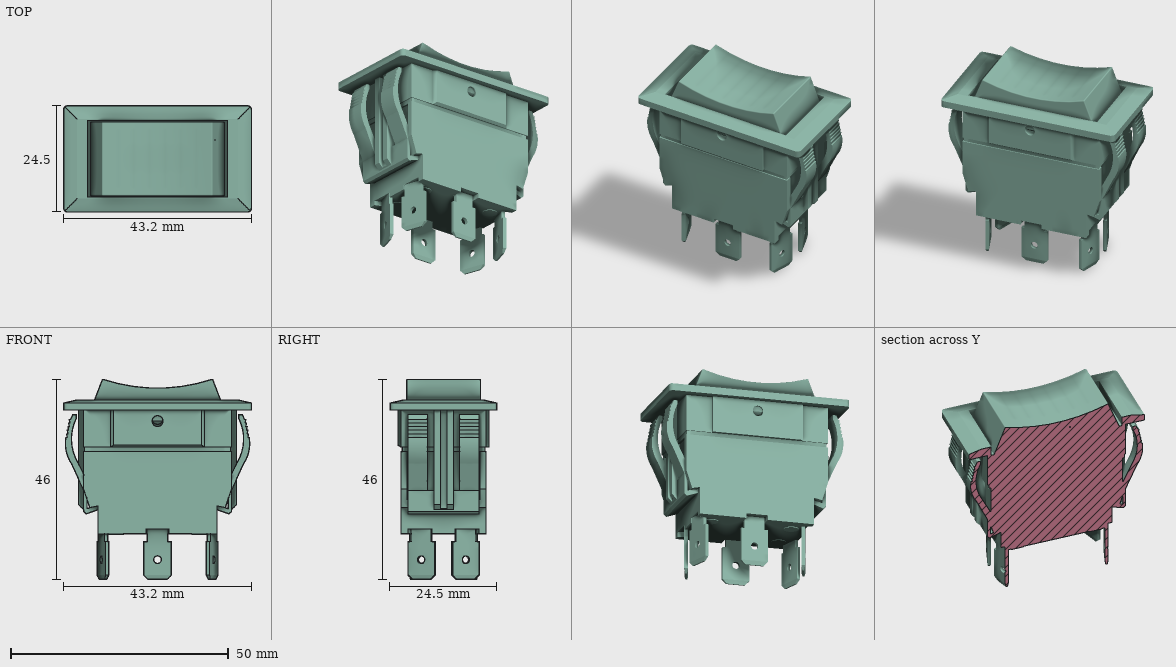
import cadquery as cq


BEZEL_LENGTH = 43.2
BEZEL_WIDTH = 24.5
BEZEL_EDGE_HEIGHT = 1.65
BEZEL_HEIGHT = 2.4
BEZEL_SLOPE_RUN = 3.1
BEZEL_CORNER_RADIUS = 1.0
OPENING_LENGTH = 32.1
OPENING_WIDTH = 17.6

ROCKER_TOP = 7.16
ROCKER_DIP = 2.06
ROCKER_WIDTH = 17.0
ROCKER_TOP_HALF = 12.65
ROCKER_BASE_HALF = 15.4
ROCKER_EDGE_RADIUS = 0.25

BODY_HALF_LENGTH = 17.0
BODY_HALF_WIDTH = 9.8
BODY_BOTTOM = -28.4
BASE_HALF_LENGTH = 13.7
GROOVE_TOP = -8.5
GROOVE_BOTTOM = -9.5
GROOVE_DEPTH = 0.27
FLANK_END = -18.1
FLANK_FOOT_X = 15.6
FLANK_FOOT_Z = -22.4
STEP_Z = -22.0

PANEL_HALF_LENGTH = 10.8
PANEL_THICKNESS = 0.7
PANEL_BEVEL_BOTTOM = 0.5
PIVOT_DIAMETER = 2.5
PIVOT_Z = -2.5
PIVOT_DEPTH = 2.0
PIN_RAISE = 0.5
PIN_SETBACK = 0.5

RAIL_OUTER_X = 18.2
RAIL_HALF_WIDTH = 2.25
RAIL_SLOT_WIDTH = 1.5
RAIL_SLOT_FLOOR_X = 17.25
RAIL_BEVEL_START = -21.65

CLIP_INNER_X = 16.2
CLIP_HALF_WIDTH = 8.2
CLIP_GAP = 0.15
PLATE_TOP = -18.4
PLATE_BEVEL_TOP = -23.3
HOOK_CORNER = (16.4, -23.85)
HOOK_TIP_Z = -22.9
HOOK_HEEL_Z = -22.6
ARM_WIDTH = 4.5
ARM_TIP_Z = -1.0
ARM_TIP_INNER_X = 18.65
ARM_TIP_OUTER_X = 19.5
ARM_TIP_INNER_END = -1.9
ARM_OUTER_BULGE = (21.0, -9.5)
ARM_OUTER_BEND = (19.77, -12.33)
ARM_INNER_BULGE = (19.75, -7.0)
ARM_INNER_BEND = (18.9, -10.8)
ARM_INNER_ROOT_Z = -16.3
TOOTH_COUNT = 5
FIRST_TOOTH = (20.31, -2.1)
TOOTH_PITCH = 0.83
TOOTH_ADVANCE = 0.155
TOOTH_LEDGE = 0.3

BLADE_WIDTH = 6.4
BLADE_THICKNESS = 0.85
BLADE_BOTTOM = -38.9
BLADE_SHOULDER = -30.2
BLADE_HOLE_Z = -34.35
BLADE_HOLE_DIAMETER = 1.7
NECK_WIDTH = 4.8
NECK_CLEARANCE = 0.2
NOTCH_TOP = -27.3
TIP_LENGTH = 1.0
TIP_THICKNESS = 0.4
END_BLADE_X = 12.54
END_BLADE_Y = 5.04
END_BLADE_ANGLE = 17.5
MIDDLE_BLADE_Y = 7.43

FOOT_DIAMETER = 3.5
FOOT_HEIGHT = 0.15
FOOT_X = 9.63
FOOT_Y = 5.0


def block(x_min, x_max, y_min, y_max, z_min, z_max):
    """Axis-aligned box given by its limits."""
    box = cq.Workplane("XY").box(x_max - x_min, y_max - y_min, z_max - z_min, centered=False)
    return box.translate((x_min, y_min, z_min))


def centred_block(half_x, half_y, z_min, z_max):
    return block(-half_x, half_x, -half_y, half_y, z_min, z_max)


def extrude_along_y(sketch, y_min, y_max):
    """Extrude a closed XZ outline from y_min to y_max."""
    return sketch.extrude(y_min - y_max).translate((0, y_min, 0))


def both_ends(shape):
    return shape.union(shape.mirror("YZ"))


def both_sides(shape):
    return shape.union(shape.mirror("XZ"))


def make_bezel():
    rim = (
        cq.Workplane("XY")
        .rect(BEZEL_LENGTH, BEZEL_WIDTH)
        .extrude(BEZEL_HEIGHT)
        .edges("|Z")
        .fillet(BEZEL_CORNER_RADIUS)
    )
    slab = cq.Workplane("XY").rect(BEZEL_LENGTH, BEZEL_WIDTH).extrude(BEZEL_EDGE_HEIGHT)
    slope = (
        cq.Workplane("XY")
        .workplane(offset=BEZEL_EDGE_HEIGHT)
        .rect(BEZEL_LENGTH, BEZEL_WIDTH)
        .workplane(offset=BEZEL_HEIGHT - BEZEL_EDGE_HEIGHT)
        .rect(BEZEL_LENGTH - 2 * BEZEL_SLOPE_RUN, BEZEL_WIDTH - 2 * BEZEL_SLOPE_RUN)
        .loft()
    )
    opening = centred_block(OPENING_LENGTH / 2, OPENING_WIDTH / 2, 0, BEZEL_HEIGHT)
    return rim.intersect(slab.union(slope)).cut(opening)


def make_rocker():
    outline = (
        cq.Workplane("XZ")
        .moveTo(-ROCKER_BASE_HALF, 0)
        .lineTo(ROCKER_BASE_HALF, 0)
        .lineTo(ROCKER_TOP_HALF, ROCKER_TOP)
        .threePointArc((0, ROCKER_TOP - ROCKER_DIP), (-ROCKER_TOP_HALF, ROCKER_TOP))
        .close()
    )
    rocker = extrude_along_y(outline, -ROCKER_WIDTH / 2, ROCKER_WIDTH / 2)
    return rocker.edges("not(<Z)").fillet(ROCKER_EDGE_RADIUS)


def make_housing():
    outline = (
        cq.Workplane("XZ")
        .moveTo(BODY_HALF_LENGTH, 0)
        .lineTo(BODY_HALF_LENGTH, FLANK_END)
        .lineTo(FLANK_FOOT_X, FLANK_FOOT_Z)
        .lineTo(BASE_HALF_LENGTH, STEP_Z)
        .lineTo(BASE_HALF_LENGTH, BODY_BOTTOM)
        .lineTo(0, BODY_BOTTOM)
        .lineTo(0, 0)
        .close()
    )
    body = both_ends(extrude_along_y(outline, -BODY_HALF_WIDTH, BODY_HALF_WIDTH))
    groove = centred_block(BODY_HALF_LENGTH, BODY_HALF_WIDTH, GROOVE_BOTTOM, GROOVE_TOP).cut(
        centred_block(
            BODY_HALF_LENGTH - GROOVE_DEPTH,
            BODY_HALF_WIDTH - GROOVE_DEPTH,
            GROOVE_BOTTOM,
            GROOVE_TOP,
        )
    )
    clip_seat = block(
        CLIP_INNER_X,
        BODY_HALF_LENGTH,
        -CLIP_HALF_WIDTH - CLIP_GAP,
        CLIP_HALF_WIDTH + CLIP_GAP,
        FLANK_FOOT_Z,
        GROOVE_BOTTOM,
    )
    return body.cut(groove).cut(both_ends(clip_seat))


def make_front_panel():
    """Raised panel on the -Y wall, bevelled at its ends and its bottom."""
    outer_y = -BODY_HALF_WIDTH - PANEL_THICKNESS
    plan = (
        cq.Workplane("XY")
        .polyline(
            [
                (-PANEL_HALF_LENGTH, -BODY_HALF_WIDTH),
                (-PANEL_HALF_LENGTH + PANEL_THICKNESS, outer_y),
                (PANEL_HALF_LENGTH - PANEL_THICKNESS, outer_y),
                (PANEL_HALF_LENGTH, -BODY_HALF_WIDTH),
            ]
        )
        .close()
        .extrude(GROOVE_TOP)
    )
    section = (
        cq.Workplane("YZ")
        .polyline(
            [
                (-BODY_HALF_WIDTH, 0),
                (outer_y, 0),
                (outer_y, GROOVE_TOP + PANEL_BEVEL_BOTTOM),
                (-BODY_HALF_WIDTH, GROOVE_TOP),
            ]
        )
        .close()
        .extrude(PANEL_HALF_LENGTH, both=True)
    )
    return plan.intersect(section)


def make_back_panel():
    """Plain square-edged panel on the +Y wall."""
    return block(
        -PANEL_HALF_LENGTH,
        PANEL_HALF_LENGTH,
        BODY_HALF_WIDTH,
        BODY_HALF_WIDTH + PANEL_THICKNESS,
        GROOVE_TOP,
        0,
    )


def make_pivot_recess():
    """Blind pivot hole in the -Y panel, less the pin whose lower half slopes back."""
    outer_y = -BODY_HALF_WIDTH - PANEL_THICKNESS
    radius = PIVOT_DIAMETER / 2
    hole = extrude_along_y(
        cq.Workplane("XZ").center(0, PIVOT_Z).circle(radius), outer_y, outer_y + PIVOT_DEPTH
    )
    pin_front = outer_y + PIN_SETBACK
    pin = extrude_along_y(
        cq.Workplane("XZ").center(0, PIVOT_Z + PIN_RAISE).circle(radius),
        pin_front,
        outer_y + PIVOT_DEPTH,
    )
    pin_bottom = PIVOT_Z - radius
    slope = (
        cq.Workplane("YZ")
        .polyline([(pin_front, PIVOT_Z), (pin_front, pin_bottom), (pin_front + radius, pin_bottom)])
        .close()
        .extrude(radius, both=True)
    )
    return hole.cut(pin.cut(slope))


def make_rail():
    """Grooved guide rail on the +X end."""
    bevel = RAIL_OUTER_X - CLIP_INNER_X
    outline = (
        cq.Workplane("XZ")
        .moveTo(CLIP_INNER_X, 0)
        .lineTo(RAIL_OUTER_X, 0)
        .lineTo(RAIL_OUTER_X, RAIL_BEVEL_START)
        .lineTo(CLIP_INNER_X, RAIL_BEVEL_START - bevel)
        .close()
    )
    rail = extrude_along_y(outline, -RAIL_HALF_WIDTH, RAIL_HALF_WIDTH)
    slot = block(
        RAIL_SLOT_FLOOR_X,
        RAIL_OUTER_X,
        -RAIL_SLOT_WIDTH / 2,
        RAIL_SLOT_WIDTH / 2,
        RAIL_BEVEL_START - bevel,
        0,
    )
    return rail.cut(slot)


def make_clip_plate():
    """Plate on the +X end with a hook that reaches under the housing step."""
    outline = (
        cq.Workplane("XZ")
        .moveTo(CLIP_INNER_X, PLATE_TOP)
        .lineTo(BODY_HALF_LENGTH, PLATE_TOP)
        .lineTo(BODY_HALF_LENGTH, PLATE_BEVEL_TOP)
        .lineTo(*HOOK_CORNER)
        .lineTo(BASE_HALF_LENGTH, HOOK_TIP_Z)
        .lineTo(BASE_HALF_LENGTH, STEP_Z)
        .lineTo(FLANK_FOOT_X, FLANK_FOOT_Z)
        .lineTo(CLIP_INNER_X, HOOK_HEEL_Z)
        .close()
    )
    return extrude_along_y(outline, -CLIP_HALF_WIDTH, CLIP_HALF_WIDTH)


def make_clip_arm():
    """Bowed spring arm on the +X end with saw teeth near its free tip."""
    outline = (
        cq.Workplane("XZ")
        .moveTo(ARM_TIP_INNER_X, ARM_TIP_Z)
        .lineTo(ARM_TIP_OUTER_X, ARM_TIP_Z)
    )
    for tooth in range(TOOTH_COUNT + 1):
        x = FIRST_TOOTH[0] + tooth * TOOTH_ADVANCE
        z = FIRST_TOOTH[1] - tooth * TOOTH_PITCH
        outline = outline.lineTo(x - TOOTH_LEDGE, z).lineTo(x, z)
    outline = (
        outline.threePointArc(ARM_OUTER_BULGE, ARM_OUTER_BEND)
        .lineTo(BODY_HALF_LENGTH, PLATE_TOP)
        .lineTo(CLIP_INNER_X, PLATE_TOP)
        .lineTo(CLIP_INNER_X, ARM_INNER_ROOT_Z)
        .lineTo(*ARM_INNER_BEND)
        .threePointArc(ARM_INNER_BULGE, (ARM_TIP_INNER_X, ARM_TIP_INNER_END))
        .close()
    )
    return extrude_along_y(outline, -CLIP_HALF_WIDTH, ARM_WIDTH - CLIP_HALF_WIDTH)


def make_blade():
    """Terminal blade in the XZ plane, centred on X = 0 and Y = 0."""
    half = BLADE_WIDTH / 2
    neck_half = NECK_WIDTH / 2
    tip_z = BLADE_BOTTOM + TIP_LENGTH
    outline = (
        cq.Workplane("XZ")
        .polyline(
            [
                (-neck_half, NOTCH_TOP),
                (-neck_half, BLADE_SHOULDER),
                (-half, BLADE_SHOULDER),
                (-half, tip_z),
                (-half + TIP_LENGTH, BLADE_BOTTOM),
                (half - TIP_LENGTH, BLADE_BOTTOM),
                (half, tip_z),
                (half, BLADE_SHOULDER),
                (neck_half, BLADE_SHOULDER),
                (neck_half, NOTCH_TOP),
            ]
        )
        .close()
    )
    blade = extrude_along_y(outline, -BLADE_THICKNESS / 2, BLADE_THICKNESS / 2)
    taper = (
        cq.Workplane("YZ")
        .polyline(
            [
                (-BLADE_THICKNESS / 2, NOTCH_TOP),
                (-BLADE_THICKNESS / 2, tip_z),
                (-TIP_THICKNESS / 2, BLADE_BOTTOM),
                (TIP_THICKNESS / 2, BLADE_BOTTOM),
                (BLADE_THICKNESS / 2, tip_z),
                (BLADE_THICKNESS / 2, NOTCH_TOP),
            ]
        )
        .close()
        .extrude(half, both=True)
    )
    hole = extrude_along_y(
        cq.Workplane("XZ").center(0, BLADE_HOLE_Z).circle(BLADE_HOLE_DIAMETER / 2),
        -BLADE_THICKNESS / 2,
        BLADE_THICKNESS / 2,
    )
    return blade.intersect(taper).cut(hole)


def make_notch():
    """Clearance in the base for a blade neck, open toward -Y, placed like the blade."""
    half = NECK_WIDTH / 2 + NECK_CLEARANCE
    return block(-half, half, -BLADE_WIDTH, BLADE_THICKNESS / 2, BODY_BOTTOM, NOTCH_TOP)


def place_terminals(shape):
    """Copies at the two middle and the four angled end positions."""
    middle = shape.translate((0, -MIDDLE_BLADE_Y, 0))
    end = shape.rotate((0, 0, 0), (0, 0, 1), END_BLADE_ANGLE - 90)
    end = end.translate((-END_BLADE_X, -END_BLADE_Y, 0))
    return both_sides(middle.union(both_ends(end)))


def make_feet():
    return (
        cq.Workplane("XY")
        .workplane(offset=BODY_BOTTOM - FOOT_HEIGHT)
        .rect(2 * FOOT_X, 2 * FOOT_Y, forConstruction=True)
        .vertices()
        .circle(FOOT_DIAMETER / 2)
        .extrude(FOOT_HEIGHT)
    )


result = (
    make_housing()
    .union(make_bezel())
    .union(make_rocker())
    .union(make_front_panel())
    .union(make_back_panel())
    .cut(both_sides(make_pivot_recess()))
    .cut(place_terminals(make_notch()))
    .union(place_terminals(make_blade()))
    .union(make_feet())
    .union(both_ends(make_rail()))
    .union(both_ends(make_clip_plate()))
    .union(both_ends(both_sides(make_clip_arm())))
)